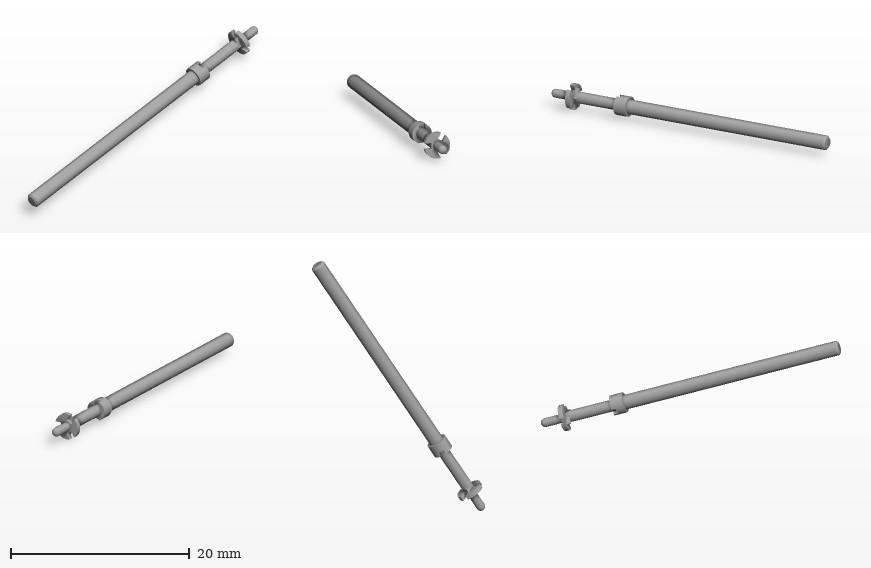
import cadquery as cq
import math


tail_end_y = -25.5
tail_joint_y = -22.5
collar_length = 1.5
sleeve_end_y = 6.5
sleeve_edge_length = 0.4
key_length = 0.45
flange_thickness = 0.55
overall_length = 35.5
tip_end_y = tail_end_y + overall_length

barrel_diameter = 1.65
tail_diameter = 1.66
collar_diameter = 2.3
sleeve_diameter = 1.32
sleeve_end_diameter = 1.3
flange_diameter = 3.0
pin_diameter = 1.0

tail_chamfer = 0.2
tip_fillet = 0.47

flange_slot_count = 3
flange_slot_width = 0.7
flange_slot_floor_radius = 0.7

collar_slot_width = 0.75
collar_slot_length = 0.5

key_face_angle = 60
key_half_width = 0.65
key_half_height = key_half_width * math.tan(math.radians(key_face_angle))

flange_back_y = sleeve_end_y + key_length
flange_front_y = flange_back_y + flange_thickness


def rod(diameter, start_y, end_y):
    """Round bar on the part's axis between two stations."""
    plane = cq.Workplane("XZ", origin=(0, start_y, 0))
    return plane.circle(diameter / 2).extrude(start_y - end_y)


def cone(start_diameter, start_y, end_diameter, end_y):
    """Tapered bar on the part's axis between two stations."""
    outline = cq.Workplane("XY").moveTo(0, start_y).lineTo(start_diameter / 2, start_y)
    outline = outline.lineTo(end_diameter / 2, end_y).lineTo(0, end_y).close()
    return outline.revolve(360, (0, 0, 0), (0, 1, 0))


def make_barrel():
    tail = rod(tail_diameter, tail_end_y, tail_joint_y).faces("<Y").chamfer(tail_chamfer)
    barrel = rod(barrel_diameter, tail_joint_y, 0)
    collar = rod(collar_diameter, 0, collar_length)
    slot = cq.Workplane("XY").box(collar_slot_width, collar_slot_length, collar_diameter)
    slot = slot.translate((0, collar_length - collar_slot_length / 2, 0))
    return tail.union(barrel).union(collar.cut(slot))


def make_sleeve():
    """Sleeve from the barrel's shoulder through the collar, slightly tapered at its end."""
    edge_y = sleeve_end_y - sleeve_edge_length
    straight = rod(sleeve_diameter, 0, edge_y)
    return straight.union(cone(sleeve_diameter, edge_y, sleeve_end_diameter, sleeve_end_y))


def make_key():
    corners = [
        (key_half_width, 0),
        (0, key_half_height),
        (-key_half_width, 0),
        (0, -key_half_height),
    ]
    plane = cq.Workplane("XZ", origin=(0, sleeve_end_y, 0))
    return plane.polyline(corners).close().extrude(-key_length)


def make_flange():
    flange = rod(flange_diameter, flange_back_y, flange_front_y)
    slot_length = flange_diameter / 2
    slot = cq.Workplane("XY").box(
        slot_length, flange_thickness, flange_slot_width, centered=(False, False, True)
    )
    slot = slot.translate((flange_slot_floor_radius, flange_back_y, 0))
    for index in range(flange_slot_count):
        flange = flange.cut(slot.rotate((0, 0, 0), (0, 1, 0), index * 360 / flange_slot_count))
    return flange


def make_pin():
    return rod(pin_diameter, flange_front_y, tip_end_y).faces(">Y").edges().fillet(tip_fillet)


probe = make_barrel().union(make_sleeve())
probe = probe.union(make_key())
probe = probe.union(make_flange())
result = probe.union(make_pin())